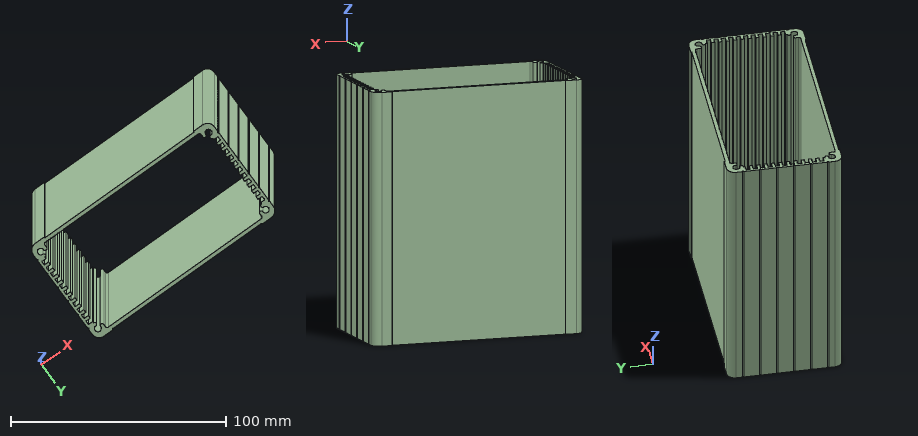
import cadquery as cq

width = 104.0
depth = 54.6
length = 120.0
corner_radius = 4.0

side_wall = 1.5
broad_wall = 1.9
panel_recess = 0.5
corner_pad_width = 9.2

fin_count = 12
fin_span = 38.5
fin_thickness = 1.5
fin_height = 2.4

groove_count = 6
groove_pitch = 8.0
groove_radius = 0.4

screw_offset_x = 3.8
screw_offset_y = 4.7
screw_radius = 1.5
lip_thickness = 1.8
root_fillet = 1.0

half_width = width / 2
half_depth = depth / 2
inner_x = half_width - side_wall
inner_y = half_depth - panel_recess - broad_wall


def bar(x_min, x_max, y_min, y_max):
    """Full-length rectangular bar between the given section limits."""
    return (
        cq.Workplane("XY", origin=((x_min + x_max) / 2, (y_min + y_max) / 2, 0))
        .box(x_max - x_min, y_max - y_min, length)
    )


def rod(x, y, radius):
    """Full-length round bar centred at (x, y)."""
    return cq.Workplane("XY", origin=(x, y, -length / 2)).circle(radius).extrude(length)


def evenly_spaced(count, pitch):
    """Positions of a row of features centred on zero."""
    return [(i - (count - 1) / 2) * pitch for i in range(count)]


def make_shell():
    """Rounded rectangular tube with recessed broad faces."""
    shell = cq.Workplane("XY").box(width, depth, length).edges("|Z").fillet(corner_radius)
    shell = shell.cut(bar(-inner_x, inner_x, -inner_y, inner_y))
    panel_half = half_width - corner_pad_width
    panel_face = half_depth - panel_recess
    for y_min in (panel_face, -half_depth):
        shell = shell.cut(bar(-panel_half, panel_half, y_min, y_min + panel_recess))
    return shell


def make_screw_channel():
    """Solid for the +X, +Y corner: two round-ended lips around a screw hole."""
    x = half_width - screw_offset_x
    y = half_depth - screw_offset_y
    outer_radius = screw_radius + lip_thickness
    lip_x = x - outer_radius
    lip_y = y - outer_radius

    block = bar(lip_x, inner_x, y, inner_y).union(bar(x, inner_x, lip_y, inner_y))
    block = block.cut(rod(x, y, screw_radius))

    tip_radius = lip_thickness / 2
    tip_distance = screw_radius + tip_radius
    block = block.union(rod(x - tip_distance, y, tip_radius))
    block = block.union(rod(x, y - tip_distance, tip_radius))

    root = bar(lip_x - root_fillet, lip_x, inner_y - root_fillet, inner_y)
    root = root.cut(rod(lip_x - root_fillet, inner_y - root_fillet, root_fillet))
    return block.union(root)


def add_screw_channels(body):
    corner = make_screw_channel()
    side_pair = corner.union(corner.mirror("XZ"))
    return body.union(side_pair).union(side_pair.mirror("YZ"))


def add_fins(body):
    for y in evenly_spaced(fin_count, fin_span / (fin_count - 1)):
        fin = bar(inner_x - fin_height, inner_x, y - fin_thickness / 2, y + fin_thickness / 2)
        body = body.union(fin).union(fin.mirror("YZ"))
    return body


def cut_grooves(body):
    for y in evenly_spaced(groove_count, groove_pitch):
        groove = rod(half_width, y, groove_radius)
        body = body.cut(groove).cut(groove.mirror("YZ"))
    return body


result = cut_grooves(add_fins(add_screw_channels(make_shell())))